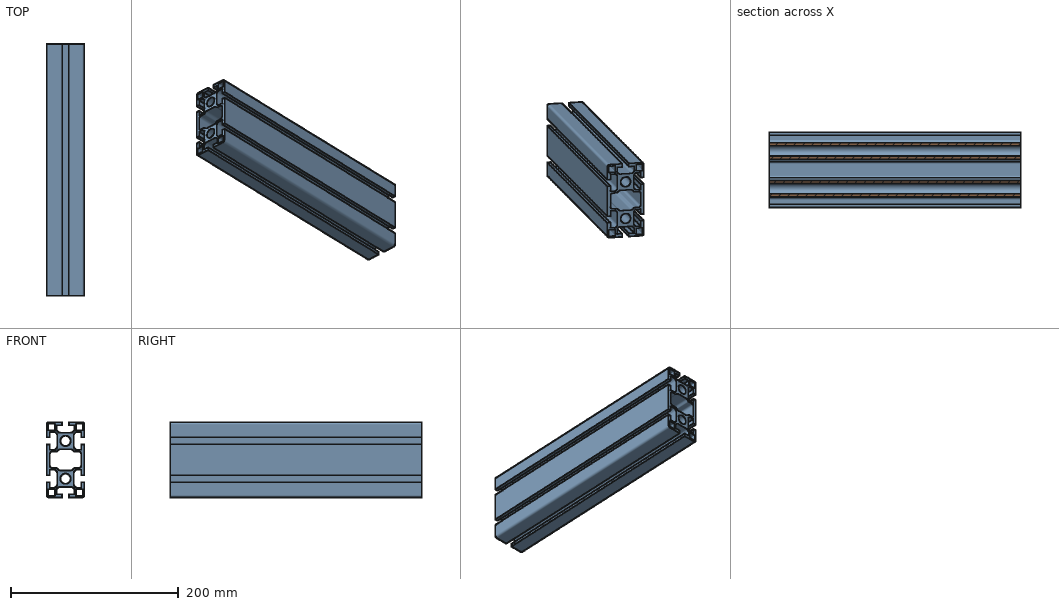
import cadquery as cq

cell = 45.0
length = 300.0
width = cell
height = 2 * cell
cell_center_z = cell / 2
corner_radius = 3.0

slot_opening = 8.2
lip_thickness = 4.0
slot_inner_width = 21.0
core_half_width = 10.0
floor_chamfer = 2.4
core_blend_radius = 3.5
web_blend_radius = 2.0
bore_diameter = 12.0

hollow_wall = 2.0
hollow_size = 7.8
hollow_radius = 0.5

chamber_half_width = width / 2 - lip_thickness
chamber_half_height = 9.7
chamber_radius = 2.7
relief_half_width = 10.4
relief_half_height = cell_center_z - core_half_width
relief_margin = 0.1


def section_plane():
    return cq.Workplane("XZ")


def extrude_section(section):
    """Extrude a closed XZ section along the full length, centred on Y."""
    return section.extrude(length / 2, both=True)


def make_blank():
    blank = extrude_section(section_plane().rect(width, height))
    return blank.edges("|Y").fillet(corner_radius)


def make_slot():
    """T-slot void opening towards +Z, with the core centre at the origin."""
    mouth = cell / 2
    lip_inner = mouth - lip_thickness
    pocket_depth = lip_inner - core_half_width
    pocket_center = (lip_inner + core_half_width) / 2
    lip_center = mouth - lip_thickness / 2

    opening = extrude_section(section_plane().center(0, lip_center).rect(slot_opening, lip_thickness))
    pocket = extrude_section(section_plane().center(0, pocket_center).rect(slot_inner_width, pocket_depth))
    pocket = pocket.faces("<Z").edges("|Y").chamfer(floor_chamfer)
    pocket = pocket.faces("<Z").edges("|Y").fillet(core_blend_radius)
    pocket = pocket.faces("<X or >X").edges("|Y").edges("<Z").fillet(web_blend_radius)
    return opening.union(pocket)


def make_central_chamber():
    """Wide chamber with a 45-degree relief towards each core."""
    chamber = extrude_section(section_plane().rect(2 * chamber_half_width, 2 * chamber_half_height))
    chamber = chamber.edges("|Y").fillet(chamber_radius)

    relief = extrude_section(section_plane().rect(2 * relief_half_width, 2 * relief_half_height))
    relief = relief.edges("|Y").chamfer(relief_half_height - chamber_half_height)
    relief = relief.faces("<Z or >Z").edges("|Y").fillet(core_blend_radius)

    chamber = chamber.union(relief)
    relief_mouths = cq.selectors.BoxSelector(
        (-relief_half_width - relief_margin, -length, -chamber_half_height - relief_margin),
        (relief_half_width + relief_margin, length, chamber_half_height + relief_margin),
    )
    return chamber.edges("|Y").edges(relief_mouths).fillet(web_blend_radius)


def make_corner_hollows():
    inset = hollow_wall + hollow_size / 2
    pitch_x = width - 2 * inset
    pitch_z = height - 2 * inset
    hollow_centers = section_plane().rect(pitch_x, pitch_z, forConstruction=True).vertices()
    hollows = extrude_section(hollow_centers.rect(hollow_size, hollow_size))
    return hollows.edges("|Y").fillet(hollow_radius)


def make_bores():
    core_centers = [(0, cell_center_z), (0, -cell_center_z)]
    return extrude_section(section_plane().pushPoints(core_centers).circle(bore_diameter / 2))


def cut_slots(body):
    """Cut the end slot and both side slots of each cell."""
    slot = make_slot()
    for side, end_angle in ((1, 0), (-1, 180)):
        for angle in (end_angle, 90, -90):
            turned_slot = slot.rotate((0, 0, 0), (0, 1, 0), angle)
            body = body.cut(turned_slot.translate((0, 0, side * cell_center_z)))
    return body


result = make_blank()
result = result.cut(make_central_chamber())
result = result.cut(make_corner_hollows())
result = result.cut(make_bores())
result = cut_slots(result)